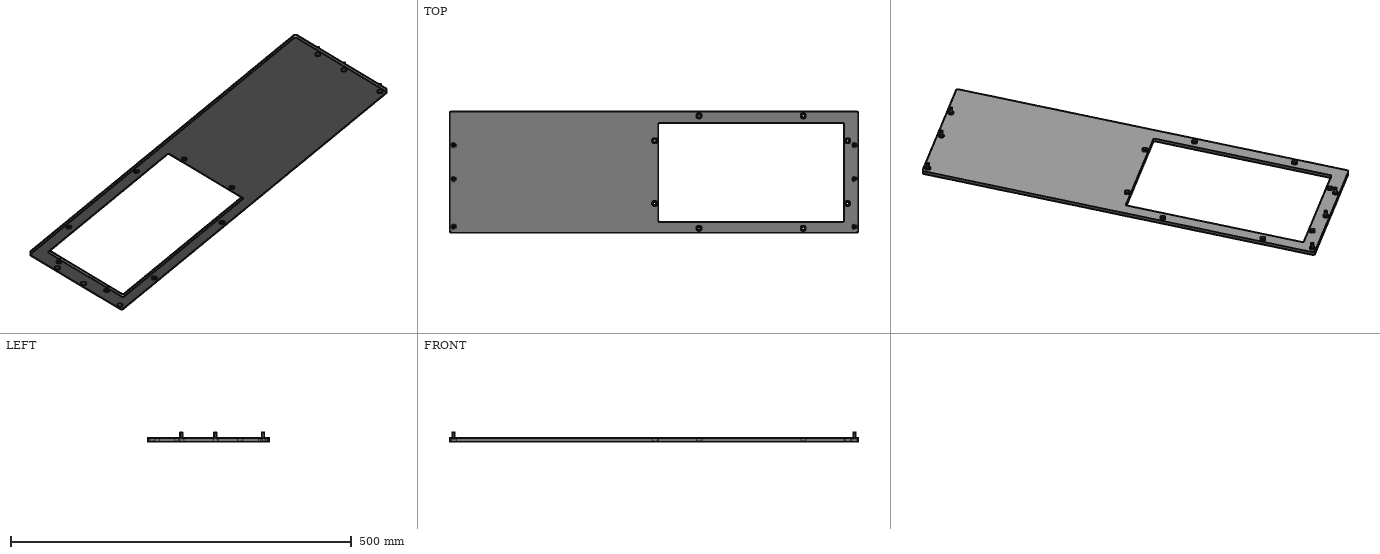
import cadquery as cq

plate_length = 600.0
plate_width = 178.0
plate_thickness = 6.0
plate_corner_radius = 3.0

window_length = 272.0
window_width = 145.0
window_center_x = 142.5
window_center_y = -0.5
window_corner_radius = 1.5

clearance_hole_diameter = 4.5
counterbore_diameter = 8.0
counterbore_depth = 4.4

end_hole_spacing_x = 283.0
end_hole_spacing_y = 92.0
side_hole_spacing_x = 153.0
side_hole_spacing_y = 165.0

screw_shank_diameter = 4.0
screw_shank_length = 10.0
screw_head_diameter = 7.0
screw_head_height = 4.0
screw_tip_chamfer = 0.5
screw_edge_distance = 6.0
screw_rows_y = (40.0, -10.0, -80.0)
screw_x = plate_length / 2 - screw_edge_distance
screw_points = [(x, y) for x in (-screw_x, screw_x) for y in screw_rows_y]


def make_block(length, width, corner_radius, center=(0, 0)):
    """Plate-thick rectangular block with rounded vertical edges."""
    return (
        cq.Workplane("XY")
        .center(*center)
        .rect(length, width)
        .extrude(plate_thickness)
        .edges("|Z")
        .fillet(corner_radius)
    )


def rectangle_corners(spacing_x, spacing_y):
    """Corner points of a hole rectangle centred on the window along X and on the plate along Y."""
    return [
        (window_center_x + side_x * spacing_x / 2, side_y * spacing_y / 2)
        for side_x in (-1, 1)
        for side_y in (-1, 1)
    ]


def cut_counterbored_holes(plate, points, counterbore_bottom):
    """Cut through holes with a counterbore that starts at the given height."""
    holes = (
        cq.Workplane("XY")
        .pushPoints(points)
        .circle(clearance_hole_diameter / 2)
        .extrude(plate_thickness)
    )
    counterbores = (
        cq.Workplane("XY", origin=(0, 0, counterbore_bottom))
        .pushPoints(points)
        .circle(counterbore_diameter / 2)
        .extrude(counterbore_depth)
    )
    return plate.cut(holes).cut(counterbores)


def make_plate():
    plate = make_block(plate_length, plate_width, plate_corner_radius)
    window_center = (window_center_x, window_center_y)
    window = make_block(window_length, window_width, window_corner_radius, window_center)
    plate = plate.cut(window)
    window_holes = rectangle_corners(end_hole_spacing_x, end_hole_spacing_y)
    window_holes += rectangle_corners(side_hole_spacing_x, side_hole_spacing_y)
    plate = cut_counterbored_holes(plate, window_holes, plate_thickness - counterbore_depth)
    return cut_counterbored_holes(plate, screw_points, 0)


def make_cap_screw(point):
    """Screw with its head seated against the counterbore shoulder and its shank pointing up."""
    head_bottom = counterbore_depth - screw_head_height
    return (
        cq.Workplane("XY", origin=(*point, head_bottom))
        .circle(screw_head_diameter / 2)
        .extrude(screw_head_height)
        .faces(">Z")
        .workplane()
        .circle(screw_shank_diameter / 2)
        .extrude(screw_shank_length)
        .faces(">Z")
        .chamfer(screw_tip_chamfer)
    )


plate = make_plate()
cap_screws = [make_cap_screw(point) for point in screw_points]

result = cq.Compound.makeCompound([plate.val(), *[screw.val() for screw in cap_screws]])